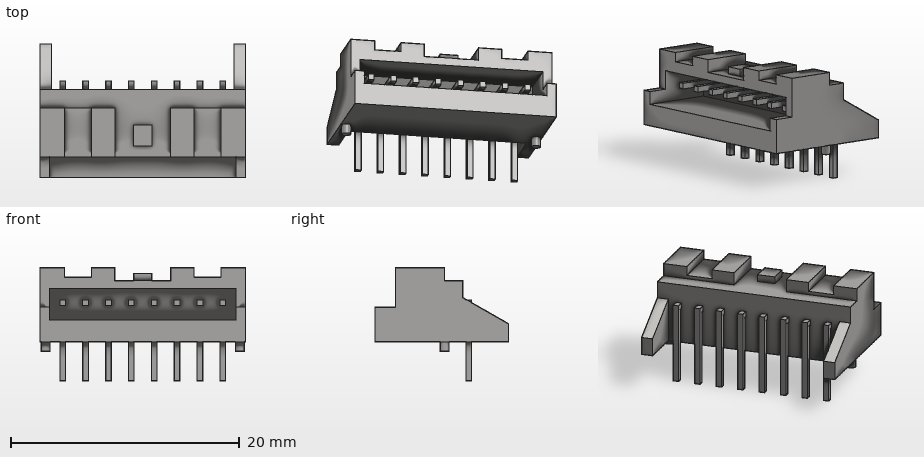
import cadquery as cq

body_width = 18.0
body_depth = 7.7
body_height = 6.5
sill_depth = 1.8
sill_height = 3.05

side_wall = 0.83
floor_thickness = 1.9
pocket_top = 4.68
back_wall = 1.6

ledge_depth = 1.6
ledge_drop = 1.13
roof_end = body_depth - ledge_depth
center_gap_width = 4.86
side_notch_drop = 0.83
side_notch_width = 2.34
side_notch_offset = 5.67
tab_width = 1.6
tab_depth = 1.84
tab_height = 0.63
tab_front = 2.75

arm_width = 1.03
arm_end = 11.7
arm_root_height = 3.87
arm_tip_height = 1.58

post_diameter = 0.8
post_length = 0.83
post_x = (body_width - arm_width) / 2
post_y = 6.1

pin_count = 8
pin_pitch = 2.0
pin_size = 0.5
pin_axis_height = 3.42
pin_tip = 2.6
pin_rear = 8.46
pin_tail = 3.4


def block(width, y_start, y_end, z_start, z_end, x_center=0.0):
    """Box centred on x_center, given by its Y and Z limits."""
    return (
        cq.Workplane("XY")
        .box(width, y_end - y_start, z_end - z_start, centered=(True, False, False))
        .translate((x_center, y_start, z_start))
    )


def side_profile(points, width, x_center=0.0):
    """Closed outline of (Y, Z) points, extruded along X about x_center."""
    return (
        cq.Workplane("YZ")
        .polyline(points)
        .close()
        .extrude(width / 2, both=True)
        .translate((x_center, 0, 0))
    )


def make_shroud():
    """Stepped body with an open-front pocket and a relieved roof."""
    ledge_height = body_height - ledge_drop
    outline = [
        (0, 0),
        (body_depth, 0),
        (body_depth, ledge_height),
        (roof_end, ledge_height),
        (roof_end, body_height),
        (sill_depth, body_height),
        (sill_depth, sill_height),
        (0, sill_height),
    ]
    shroud = side_profile(outline, body_width)

    pocket_width = body_width - 2 * side_wall
    pocket_end = body_depth - back_wall
    shroud = shroud.cut(block(pocket_width, 0, pocket_end, floor_thickness, pocket_top))

    shroud = shroud.cut(block(center_gap_width, sill_depth, roof_end, ledge_height, body_height))
    notch_floor = body_height - side_notch_drop
    for side in (-1, 1):
        notch = block(
            side_notch_width, sill_depth, roof_end, notch_floor, body_height, side * side_notch_offset
        )
        shroud = shroud.cut(notch)

    tab = block(tab_width, tab_front, tab_front + tab_depth, ledge_height, ledge_height + tab_height)
    return shroud.union(tab)


def make_arm(side):
    """Sloping support arm behind one end of the body."""
    outline = [
        (body_depth, 0),
        (arm_end, 0),
        (arm_end, arm_tip_height),
        (body_depth, arm_root_height),
    ]
    return side_profile(outline, arm_width, side * (body_width - arm_width) / 2)


def make_post(side):
    """Round locating post under one end of the body."""
    return (
        cq.Workplane("XY")
        .center(side * post_x, post_y)
        .circle(post_diameter / 2)
        .extrude(-post_length)
    )


def make_pin(x_center):
    """Square right-angle contact: a mating bar and a vertical leg behind the body."""
    bar_bottom = pin_axis_height - pin_size / 2
    bar_top = pin_axis_height + pin_size / 2
    outline = [
        (pin_tip, bar_bottom),
        (pin_rear - pin_size, bar_bottom),
        (pin_rear - pin_size, -pin_tail),
        (pin_rear, -pin_tail),
        (pin_rear, bar_top),
        (pin_tip, bar_top),
    ]
    return side_profile(outline, pin_size, x_center)


result = make_shroud()
for end in (-1, 1):
    result = result.union(make_arm(end)).union(make_post(end))
for index in range(pin_count):
    result = result.union(make_pin((index - (pin_count - 1) / 2) * pin_pitch))